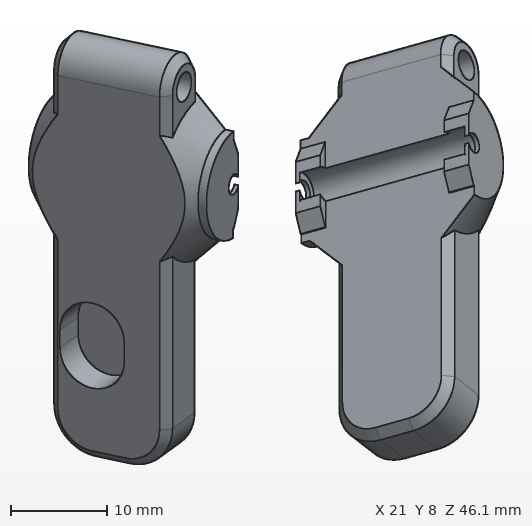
import cadquery as cq

BODY_WIDTH = 14.0
THICKNESS = 7.0
EDGE_CHAMFER = 1.0
HALF_WIDTH = BODY_WIDTH / 2

TOP_RADIUS = THICKNESS / 2
TOP_Z = 15.0
EYE_Z = TOP_Z - TOP_RADIUS
PIN_DIAMETER = 3.2

BOTTOM_Z = -31.1
CORNER_RADIUS = 5.0
REAR_RECESS = 0.15

HUB_END_X = 10.0
HUB_END_RADIUS = 6.0
COLLAR_LENGTH = 1.0
COLLAR_END_X = HUB_END_X + COLLAR_LENGTH
HUB_MID_X = HALF_WIDTH - EDGE_CHAMFER
HUB_MID_RADIUS = HUB_END_RADIUS + HUB_END_X - HUB_MID_X

TAB_LENGTH = 3.0
TAB_HEIGHT = 1.0
TAB_TIP_HALF = 3.0
TAB_ROOT_HALF = 5.0
SLOT_DIAMETER = 2.2
AXLE_DIAMETER = 3.8
END_WALL = 0.5

POCKET_X = -1.95
POCKET_Z = -18.2
POCKET_WIDTH = 7.6
POCKET_LENGTH = 9.6
POCKET_DEPTH = 4.0


def slab(rear_y, bottom_z, height):
    """Trimming block wider than the hub, from the front face back to rear_y."""
    return (
        cq.Workplane("XY", origin=(0, -THICKNESS, bottom_z))
        .box(2 * COLLAR_END_X, THICKNESS + rear_y, height, centered=(True, False, False))
    )


def upper_arm():
    """Round-topped arm, chamfered around both side faces."""
    lower_end_z = -TOP_Z
    arm = (
        cq.Workplane("YZ", origin=(-HALF_WIDTH, 0, 0))
        .moveTo(0, lower_end_z)
        .lineTo(0, EYE_Z)
        .threePointArc((-TOP_RADIUS, TOP_Z), (-THICKNESS, EYE_Z))
        .lineTo(-THICKNESS, lower_end_z)
        .close()
        .extrude(BODY_WIDTH)
        .faces("<X or >X")
        .chamfer(EDGE_CHAMFER)
    )
    return arm.intersect(slab(0, 0, TOP_Z))


def lower_arm():
    """Flat arm with rounded lower corners, chamfered along its front and rear outlines."""
    arm = (
        cq.Workplane("XZ", origin=(0, -REAR_RECESS, 0))
        .rect(BODY_WIDTH, -2 * BOTTOM_Z)
        .extrude(THICKNESS - REAR_RECESS)
        .edges("|Y")
        .fillet(CORNER_RADIUS)
        .faces("<Y or >Y")
        .chamfer(EDGE_CHAMFER)
    )
    return arm.intersect(slab(0, BOTTOM_Z, -BOTTOM_Z))


def hub():
    """Double cone with a collar on the +X end, trimmed to the front and rear faces."""
    cones = (
        cq.Workplane("XY")
        .moveTo(-HUB_END_X, 0)
        .lineTo(-HUB_END_X, HUB_END_RADIUS)
        .lineTo(-HUB_MID_X, HUB_MID_RADIUS)
        .lineTo(HUB_MID_X, HUB_MID_RADIUS)
        .lineTo(HUB_END_X, HUB_END_RADIUS)
        .lineTo(COLLAR_END_X, HUB_END_RADIUS)
        .lineTo(COLLAR_END_X, 0)
        .close()
        .revolve(360, (0, 0, 0), (1, 0, 0))
    )
    upper_space = slab(0, 0, HUB_MID_RADIUS)
    lower_space = slab(-REAR_RECESS, -HUB_MID_RADIUS, HUB_MID_RADIUS)
    return cones.intersect(upper_space.union(lower_space))


def rear_tab(start_x):
    """Trapezoidal tab standing on the rear of the hub, rooted slightly into it."""
    return (
        cq.Workplane("YZ", origin=(start_x, 0, 0))
        .polyline([
            (TAB_HEIGHT, TAB_TIP_HALF),
            (0, TAB_ROOT_HALF),
            (-REAR_RECESS, TAB_ROOT_HALF),
            (-REAR_RECESS, -TAB_ROOT_HALF),
            (0, -TAB_ROOT_HALF),
            (TAB_HEIGHT, -TAB_TIP_HALF),
        ])
        .close()
        .extrude(TAB_LENGTH)
    )


def bore_along_x(diameter, center_y, center_z, end_wall=0):
    """Cutter for a round bore along the hub, stopping end_wall short of each hub end."""
    start_x = -HUB_END_X + end_wall
    end_x = COLLAR_END_X - end_wall
    return (
        cq.Workplane("YZ", origin=(start_x, center_y, center_z))
        .circle(diameter / 2)
        .extrude(end_x - start_x)
    )


def pocket():
    """Cutter for the oblong blind pocket, its long axis along Z."""
    return (
        cq.Workplane("XZ", origin=(POCKET_X, POCKET_DEPTH - THICKNESS, POCKET_Z))
        .slot2D(POCKET_LENGTH, POCKET_WIDTH, 90)
        .extrude(POCKET_DEPTH)
    )


body = upper_arm().union(lower_arm()).union(hub())
for tab_start_x in (-HUB_END_X, COLLAR_END_X - TAB_LENGTH):
    body = body.union(rear_tab(tab_start_x))

pin_hole = bore_along_x(PIN_DIAMETER, -TOP_RADIUS, EYE_Z)
end_slots = bore_along_x(SLOT_DIAMETER, 0, 0)
axle_bore = bore_along_x(AXLE_DIAMETER, 0, 0, END_WALL)
result = body.cut(pin_hole).cut(end_slots).cut(axle_bore).cut(pocket())